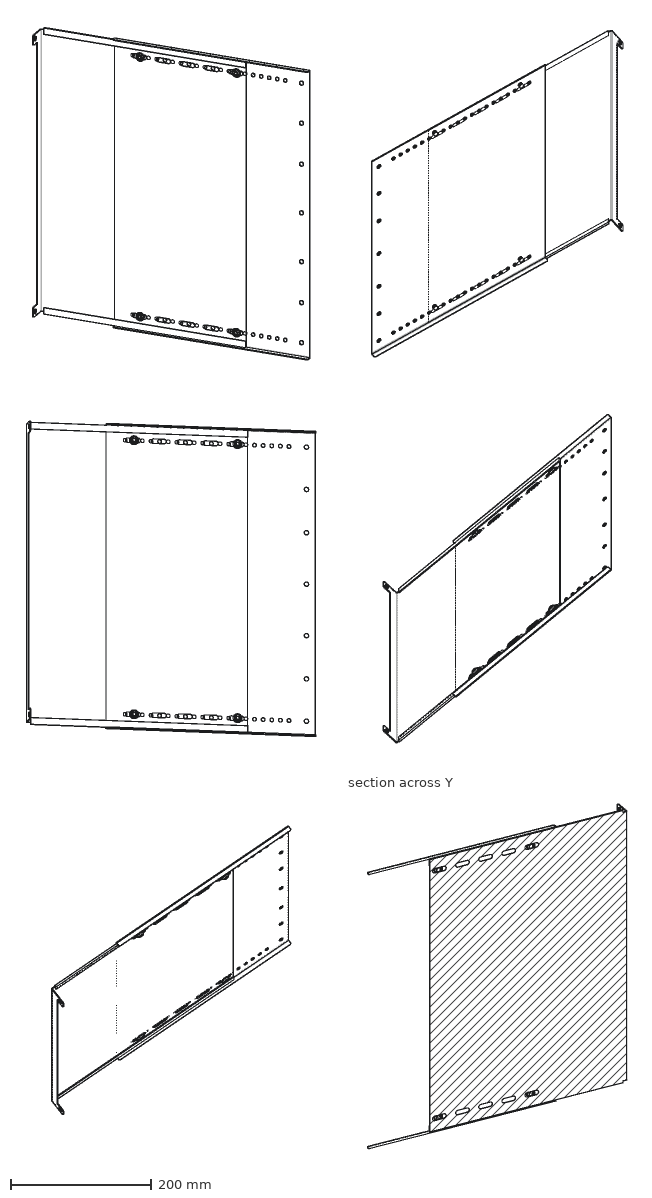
import cadquery as cq

height = 444.5
sheet = 1.5
bend_radius = 2.0
total_width = 419.5

hole_row_z = 200.0
slot_count = 5
holes_per_slot = 3
first_screw_x = 156.0
screw_span = 150.2
slot_pitch = screw_span / (slot_count - 1)
hole_pitch = slot_pitch / holes_per_slot

front_width = 321.0
side_clearance = 0.35
front_height = height - 2 * (sheet + side_clearance)
flange_height = 434.5
flange_depth = 28.5
lip_depth = 14.2
lug_height = 15.5
lug_corner_radius = 3.0
lug_hole_diameter = 6.5
lug_hole_inset = 7.0
hem_start_x = 6.2
hem_width = 10.0
screw_offset = 1.5
first_slot_x = first_screw_x - screw_offset
slot_length = 22.0
slot_width = 6.5

rear_width = 304.0
rear_left = total_width - rear_width
rear_flange_depth = 8.0
rear_corner_chamfer = 1.5
grid_hole_diameter = 5.5
grid_hole_count = 20
first_grid_x = first_screw_x - hole_pitch
edge_hole_diameter = 6.2
edge_hole_x = total_width - 13.0
edge_hole_heights = (0.0, 75.0, 138.2, hole_row_z)

shank_diameter = 6.2
screw_tip = 7.0
tip_chamfer = 1.0
collar_diameter = 13.0
collar_thickness = 1.0
head_diameter = 10.0
head_height = 2.2
head_face_diameter = 8.0
socket_width = 5.0
socket_depth = 2.0
screw_places = [
    (x, side * hole_row_z)
    for x in (first_screw_x, first_screw_x + screw_span)
    for side in (1, -1)
]


def block(x0, x1, y0, y1, z0, z1):
    """Box between two opposite corners."""
    return cq.Workplane("XY").box(x1 - x0, y1 - y0, z1 - z0, centered=False).translate((x0, y0, z0))


def facing_plane(y):
    """Sketch plane parallel to the sheets, with local x along X and local y along Z."""
    return cq.Workplane("XZ", origin=(0, y, 0))


def through_holes(places, diameter):
    """Cutters along Y, long enough for either sheet."""
    return facing_plane(2 * sheet).pushPoints(list(places)).circle(diameter / 2).extrude(4 * sheet)


def lug_holes():
    """Cutters along X through the two lugs of the bent edge."""
    hole_z = flange_height / 2 - lug_hole_inset
    hole_y = -flange_depth + lug_hole_inset
    places = [(hole_y, hole_z), (hole_y, -hole_z)]
    return cq.Workplane("YZ").pushPoints(places).circle(lug_hole_diameter / 2).extrude(sheet)


def make_front_sheet():
    """Slotted sheet with a bent edge ending in two lugs, and hems along top and bottom."""
    half_flange = flange_height / 2
    half_front = front_height / 2
    bent_edge = (
        cq.Workplane("XY", origin=(0, 0, -half_flange))
        .moveTo(0, -flange_depth)
        .lineTo(0, -bend_radius)
        .radiusArc((bend_radius, 0), bend_radius)
        .lineTo(hem_start_x, 0)
        .lineTo(hem_start_x, -sheet)
        .lineTo(bend_radius, -sheet)
        .radiusArc((sheet, -bend_radius), -(bend_radius - sheet))
        .lineTo(sheet, -flange_depth)
        .close()
        .extrude(flange_height)
    )
    lug_gap = half_flange - lug_height
    bent_edge = (
        bent_edge.cut(block(0, sheet, -flange_depth, -lip_depth, -lug_gap, lug_gap))
        .edges("|X and <Y")
        .fillet(lug_corner_radius)
        .cut(lug_holes())
    )

    front = bent_edge.union(block(hem_start_x, front_width, -sheet, 0, -half_front, half_front))
    for z0 in (-half_front, half_front - hem_width):
        front = front.union(block(hem_start_x, front_width, -2 * sheet, -sheet, z0, z0 + hem_width))

    slot_places = [
        (first_slot_x + slot * slot_pitch, side * hole_row_z)
        for slot in range(slot_count)
        for side in (1, -1)
    ]
    slots = facing_plane(0).pushPoints(slot_places).slot2D(slot_length, slot_width).extrude(sheet)
    return front.cut(slots)


def make_rear_sheet():
    """Channel-shaped sheet with two rows of adjusting holes and a column of edge holes."""
    half = height / 2
    rear = block(rear_left, total_width, 0, sheet, -half, half)
    for z0 in (-half, half - sheet):
        flange = block(rear_left, total_width, sheet - rear_flange_depth, sheet, z0, z0 + sheet)
        rear = rear.union(flange.edges("|Z and <Y").chamfer(rear_corner_chamfer))
    rear = rear.edges("|X and >Y").fillet(bend_radius)
    grid_places = [
        (first_grid_x + i * hole_pitch, side * hole_row_z)
        for i in range(grid_hole_count)
        for side in (1, -1)
    ]
    edge_places = {(edge_hole_x, side * z) for z in edge_hole_heights for side in (1, -1)}
    rear = rear.cut(through_holes(grid_places, grid_hole_diameter))
    rear = rear.cut(through_holes(edge_places, edge_hole_diameter))
    return rear.cut(through_holes(screw_places, shank_diameter))


def make_screw(x, z):
    """Screw with a collared, tapered socket head on the front sheet and its shank through both sheets."""
    shank = (
        facing_plane(screw_tip)
        .circle(shank_diameter / 2)
        .extrude(screw_tip + sheet)
        .faces(">Y")
        .chamfer(tip_chamfer)
    )
    collar = facing_plane(-sheet).circle(collar_diameter / 2).extrude(collar_thickness)
    head = (
        facing_plane(-sheet - collar_thickness)
        .circle(head_diameter / 2)
        .workplane(offset=head_height)
        .circle(head_face_diameter / 2)
        .loft()
    )
    socket_floor = -sheet - collar_thickness - head_height + socket_depth
    socket = facing_plane(socket_floor).polygon(6, socket_width).extrude(socket_depth)
    return shank.union(collar).union(head).cut(socket).translate((x, 0, z))


front_sheet = make_front_sheet()
rear_sheet = make_rear_sheet()
screws = [make_screw(x, z) for x, z in screw_places]

result = cq.Compound.makeCompound(
    [front_sheet.val(), rear_sheet.val(), *[screw.val() for screw in screws]]
)